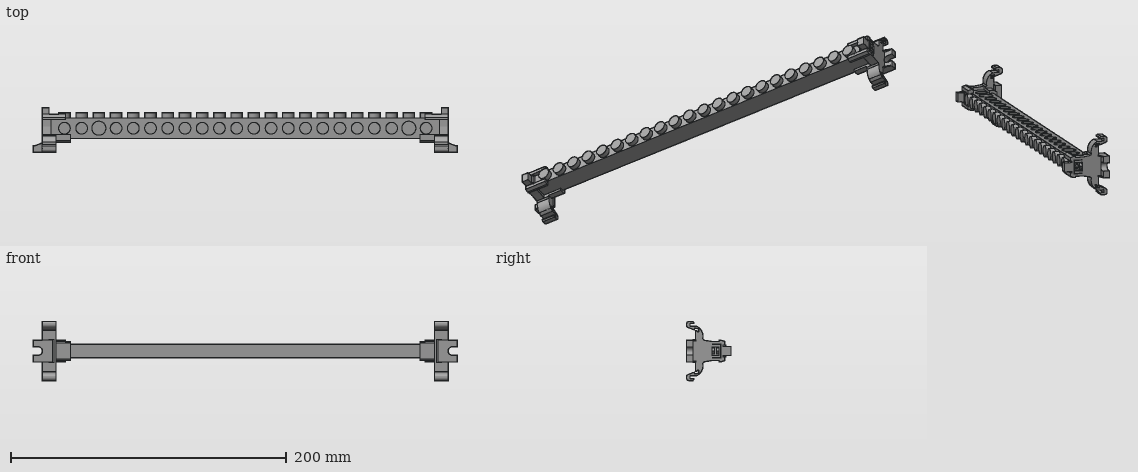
import cadquery as cq
import math


LENGTH = 308.0
DEPTH = 32.37
HEIGHT = 43.2

BAR_HEIGHT = 10.0
BAR_FRONT = 10.0
BAR_BACK = 25.0
BAR_LENGTH = 282.0
STATION_COUNT = 22
STATION_PITCH = 12.5
MARK_Y = (BAR_FRONT + BAR_BACK) / 2
MARK_DIAMETER = 8.5
LARGE_MARK_DIAMETER = 10.2
LARGE_STATIONS = (2, STATION_COUNT - 2)
MARK_DEPTH = 0.3
BOSS_DIAMETER = 8.5
BOSS_HEIGHT = 3.8

FORK_TIP = LENGTH / 2
WALL_OUTER = 147.5
WALL_INNER = BAR_LENGTH / 2
ARM_INNER = 137.3
SLEEVE_INNER = 126.7
RAIL_INNER = 130.6

ARM_FRONT = 6.5
ARM_ROOT_BACK = 12.9
ARM_ROOT_BEVEL = 1.0
ARM_BEND_MIDPOINT = (11.0, 14.7)
ARM_TIP_FRONT = 15.0
WALL_BACK = 27.8
WALL_HALF = 7.0
WALL_SHOULDER_HALF = 7.9
SHOULDER_START = 18.5

TAB_INNER = 142.3
TAB_HALF = 3.3
RELIEF_WIDTH = 0.9
RELIEF_DEPTH = 1.2

HOOK_TOP = HEIGHT / 2
HOOK_TIP_LOW = 20.0
HOOK_STRIP_TOP = 18.0
HOOK_BEND_BACK = 7.4
HOOK_THROAT = 2.6
HOOK_TIP_BACK = 5.5
HOOK_TIP_BEVEL = 0.9
HOOK_TOE_RADIUS = 2.0
HEEL_TOP = 18.6
HEEL_MIDPOINT = (0.35, 17.7)
HEEL_START = (1.2, 17.0)
SLIT_WIDTH = 1.2
SLIT_LOW = 14.0
SLIT_TOP = 16.0
SLIT_BACK = 8.9
SLIT_MOUTH = 6.0

FORK_HALF = 8.0
FORK_INNER = 140.0
FORK_THICKNESS = 4.8
FORK_SLOT_WIDTH = 6.0
FORK_SLOT_END = 147.3
PAD_INNER = 138.9
PAD_HALF = 8.3
GUSSET_THICKNESS = 0.8
GUSSET_TIP = 153.0
GUSSET_BACK = 6.8

SLEEVE_FRONT = 7.3
SLEEVE_HALF = 6.9
SLEEVE_BEVEL_Y = 1.4
SLEEVE_BEVEL_Z = 1.1
RAIL_FRONT = 23.8
RAIL_PEAK_Y = 25.2
RAIL_PEAK_HALF = 7.9
RAIL_INNER_HALF = 4.5

TONGUE_FRONT = 19.0
TONGUE_HALF = 5.1
TONGUE_SLIT = 0.3
WINDOW_FRONT = 18.6
WINDOW_BACK = 23.6
WINDOW_HALF = 3.1
LATCH_DEPTH = 3.0
LATCH_HALF = 2.2
LATCH_LENGTH = 1.8


def box(x0, x1, y0, y1, z0, z1):
    """Box between two opposite corners."""
    return cq.Workplane("XY").box(x1 - x0, y1 - y0, z1 - z0, centered=False).translate((x0, y0, z0))


def prism_along_x(points, x0, x1):
    """Closed (y, z) outline swept from x0 to x1."""
    return cq.Workplane("YZ").workplane(offset=x0).polyline(points).close().extrude(x1 - x0)


def mirrored_in_z(solid):
    return solid.union(solid.mirror("XY"))


def make_bar():
    half_length = BAR_LENGTH / 2
    half_height = BAR_HEIGHT / 2
    bar = box(-half_length, half_length, BAR_FRONT, BAR_BACK, -half_height, half_height)
    first_x = -STATION_PITCH * (STATION_COUNT - 1) / 2
    for station in range(STATION_COUNT):
        x = first_x + station * STATION_PITCH
        diameter = LARGE_MARK_DIAMETER if station in LARGE_STATIONS else MARK_DIAMETER
        mark = (
            cq.Workplane("XY", origin=(x, MARK_Y, half_height))
            .circle(diameter / 2)
            .extrude(-MARK_DEPTH)
        )
        boss = (
            cq.Workplane("XZ", origin=(x, BAR_BACK, 0))
            .circle(BOSS_DIAMETER / 2)
            .extrude(-BOSS_HEIGHT)
        )
        bar = bar.cut(mark).union(boss)
    return bar


def make_wall():
    half_outline = [
        (WALL_BACK, WALL_HALF),
        (SHOULDER_START, WALL_HALF),
        (ARM_ROOT_BACK, WALL_SHOULDER_HALF),
        (ARM_FRONT, WALL_SHOULDER_HALF),
    ]
    outline = half_outline + [(y, -z) for y, z in reversed(half_outline)]
    wall = prism_along_x(outline, WALL_INNER, WALL_OUTER)
    foot = box(
        ARM_INNER, WALL_OUTER, ARM_FRONT, ARM_ROOT_BACK, -WALL_SHOULDER_HALF, WALL_SHOULDER_HALF
    )
    relief = box(
        WALL_INNER, WALL_OUTER, WALL_BACK - RELIEF_DEPTH, WALL_BACK, TAB_HALF, TAB_HALF + RELIEF_WIDTH
    )
    tab = box(TAB_INNER, WALL_OUTER, BAR_BACK, DEPTH, -TAB_HALF, TAB_HALF)
    return wall.union(foot).cut(mirrored_in_z(relief)).union(tab)


def cut_latch(wall):
    """U-shaped slit around a tongue, with two roof-shaped teeth inside a recessed window."""
    recess_x = WALL_OUTER - LATCH_DEPTH
    tongue_outer = box(recess_x, WALL_OUTER, TONGUE_FRONT, BAR_BACK, -TONGUE_HALF, TONGUE_HALF)
    tongue_half = TONGUE_HALF - TONGUE_SLIT
    tongue = box(recess_x, WALL_OUTER, TONGUE_FRONT, BAR_BACK - TONGUE_SLIT, -tongue_half, tongue_half)
    window = box(recess_x, WALL_OUTER, WINDOW_FRONT, WINDOW_BACK, -WINDOW_HALF, WINDOW_HALF)
    wall = wall.cut(tongue_outer.cut(tongue)).cut(window)
    for tooth_back in (WINDOW_BACK, WINDOW_FRONT + LATCH_LENGTH):
        tooth = (
            cq.Workplane("XZ", origin=(0, tooth_back, 0))
            .polyline([(recess_x, -LATCH_HALF), (WALL_OUTER, 0), (recess_x, LATCH_HALF)])
            .close()
            .extrude(LATCH_LENGTH)
        )
        wall = wall.union(tooth)
    return wall


def make_arm():
    """Upper arm: a stalk that bends into a hook open towards +Y, with a slit above its stalk."""
    toe_offset = HOOK_TOE_RADIUS * (1 - math.sqrt(0.5))
    arm = (
        cq.Workplane("YZ", origin=(ARM_INNER, 0, 0))
        .moveTo(ARM_FRONT, 0)
        .lineTo(ARM_ROOT_BACK, 0)
        .lineTo(ARM_ROOT_BACK, WALL_SHOULDER_HALF)
        .lineTo(ARM_ROOT_BACK - ARM_ROOT_BEVEL, WALL_SHOULDER_HALF + ARM_ROOT_BEVEL)
        .threePointArc(ARM_BEND_MIDPOINT, (HOOK_BEND_BACK, HOOK_STRIP_TOP))
        .lineTo(HOOK_THROAT, HOOK_STRIP_TOP)
        .lineTo(HOOK_THROAT, HOOK_TIP_LOW)
        .lineTo(HOOK_TIP_BACK, HOOK_TIP_LOW)
        .lineTo(HOOK_TIP_BACK, HOOK_TOP - HOOK_TIP_BEVEL)
        .lineTo(HOOK_TIP_BACK - HOOK_TIP_BEVEL, HOOK_TOP)
        .lineTo(HOOK_TOE_RADIUS, HOOK_TOP)
        .threePointArc((toe_offset, HOOK_TOP - toe_offset), (0, HOOK_TOP - HOOK_TOE_RADIUS))
        .lineTo(0, HEEL_TOP)
        .threePointArc(HEEL_MIDPOINT, HEEL_START)
        .lineTo(ARM_FRONT, ARM_TIP_FRONT)
        .close()
        .extrude(WALL_OUTER - ARM_INNER)
    )
    slit_outline = [
        (SLIT_BACK, SLIT_LOW),
        (SLIT_BACK, SLIT_TOP),
        (SLIT_MOUTH, SLIT_TOP + SLIT_WIDTH / 2),
        (SLIT_MOUTH, SLIT_TOP - SLIT_WIDTH),
        (SLIT_BACK - SLIT_WIDTH, SLIT_TOP - SLIT_WIDTH),
        (SLIT_BACK - SLIT_WIDTH, SLIT_LOW),
    ]
    return arm.cut(prism_along_x(slit_outline, ARM_INNER, WALL_OUTER))


def make_fork():
    """Slotted plate at the foot of the wall, stiffened by a gusset along each edge."""
    plate = box(FORK_INNER, FORK_TIP, 0, FORK_THICKNESS, -FORK_HALF, FORK_HALF)
    root = box(FORK_INNER, WALL_OUTER, 0, ARM_FRONT, -FORK_HALF, FORK_HALF)
    pad = box(PAD_INNER, TAB_INNER, FORK_THICKNESS, ARM_FRONT, -PAD_HALF, PAD_HALF)
    gusset = (
        cq.Workplane("XY", origin=(0, 0, FORK_HALF - GUSSET_THICKNESS))
        .polyline([(WALL_OUTER, FORK_THICKNESS), (GUSSET_TIP, FORK_THICKNESS), (WALL_OUTER, GUSSET_BACK)])
        .close()
        .extrude(GUSSET_THICKNESS)
    )
    slot_radius = FORK_SLOT_WIDTH / 2
    slot_centre = FORK_SLOT_END + slot_radius
    round_end = cq.Workplane("XZ", origin=(slot_centre, 0, 0)).circle(slot_radius).extrude(-FORK_THICKNESS)
    slot = box(slot_centre, FORK_TIP, 0, FORK_THICKNESS, -slot_radius, slot_radius).union(round_end)
    return plate.cut(slot).union(root.cut(slot)).union(pad).union(mirrored_in_z(gusset))


def make_sleeve():
    """Channel around the front of the bar, bevelled along its two front edges."""
    half_outline = [
        (ARM_ROOT_BACK, SLEEVE_HALF),
        (SLEEVE_FRONT + SLEEVE_BEVEL_Y, SLEEVE_HALF),
        (SLEEVE_FRONT, SLEEVE_HALF - SLEEVE_BEVEL_Z),
    ]
    outline = half_outline + [(y, -z) for y, z in reversed(half_outline)]
    bar_channel = box(
        SLEEVE_INNER, ARM_INNER, BAR_FRONT, ARM_ROOT_BACK, -BAR_HEIGHT / 2, BAR_HEIGHT / 2
    )
    return prism_along_x(outline, SLEEVE_INNER, ARM_INNER).cut(bar_channel)


def make_rail():
    """Upper rail: grips the rear edge of the bar, with a ridge along its outer side."""
    outline = [
        (RAIL_FRONT, BAR_HEIGHT / 2),
        (RAIL_FRONT, RAIL_PEAK_HALF),
        (RAIL_PEAK_Y, RAIL_PEAK_HALF),
        (WALL_BACK, WALL_HALF),
        (WALL_BACK, RAIL_INNER_HALF),
        (BAR_BACK, RAIL_INNER_HALF),
        (BAR_BACK, BAR_HEIGHT / 2),
    ]
    return prism_along_x(outline, RAIL_INNER, WALL_OUTER)


def make_bracket():
    """Bracket for the +X end of the bar."""
    bracket = make_wall()
    bracket = bracket.union(mirrored_in_z(make_rail()))
    bracket = cut_latch(bracket)
    bracket = bracket.union(mirrored_in_z(make_arm()))
    return bracket.union(make_fork()).union(make_sleeve())


bracket = make_bracket()
result = make_bar().union(bracket).union(bracket.mirror("YZ"))